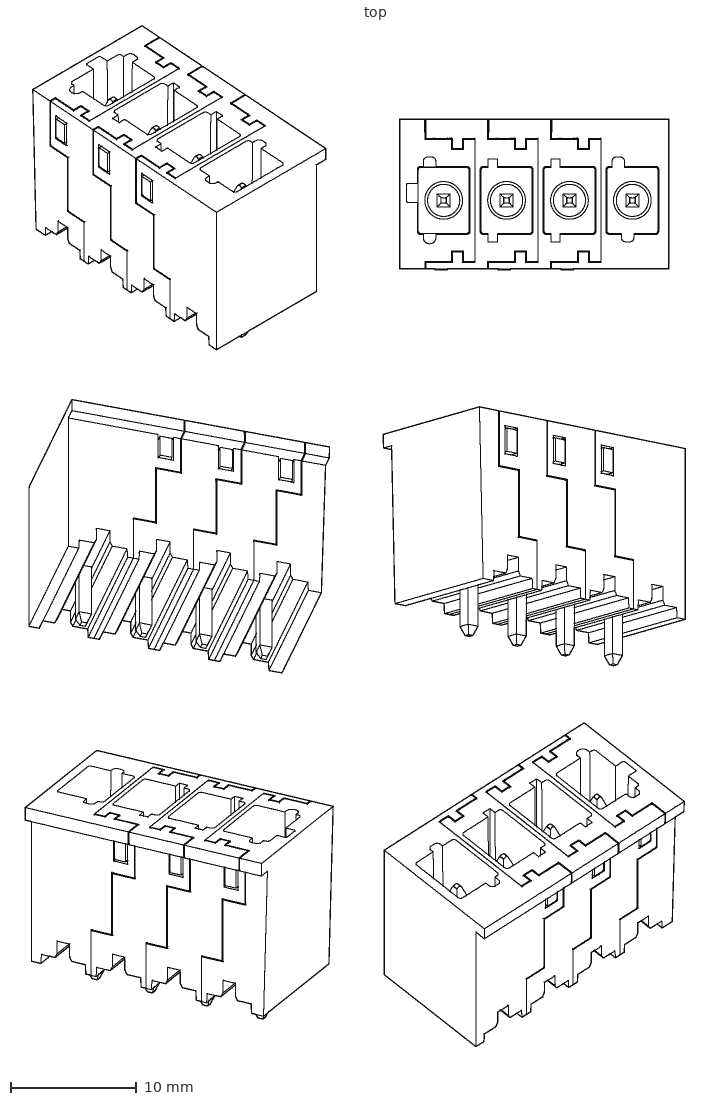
import cadquery as cq
import math


MODULE_COUNT = 4
PITCH = 5.0
HALF_PITCH = PITCH / 2
JOINT_CLEARANCE = 0.08

HEIGHT = 14.0
DEPTH = 10.9
HALF_DEPTH = DEPTH / 2
FIRST_END = 3.5
FIRST_END_FOOT = 3.12
LAST_END = 2.9
LIP_REACH = 1.0
LIP_HEIGHT = 1.12

FLAP_THICKNESS = 0.53
FLAP_TOP_START = -1.42
FLAP_MIDDLE_START = 0.64
FLAP_TOP_BOTTOM = 9.51
FLAP_MIDDLE_BOTTOM = 4.04
TONGUE_START = 0.7
TONGUE_WIDTH = 0.8
TONGUE_REACH = 0.8

LATCH_X = -0.19
LATCH_WIDTH = 1.0
LATCH_BOTTOM = 10.78
LATCH_HEIGHT = 1.9
LATCH_PROUD = 0.08
WINDOW_SIDE_GAP = 0.14
WINDOW_END_GAP = 0.2

CAVITY_WIDTH = 4.2
CAVITY_LENGTH = 5.4
CAVITY_FLOOR = 5.0
CAVITY_CORNER = 0.25
CAVITY_DRAFT = 0.5
COLLAR_RADIUS = 1.5
COLLAR_TOP_RADIUS = 1.28
COLLAR_HEIGHT = 0.5

SLOT_TIP = 3.45
SHORT_SLOT_TIP = 3.3
ROUND_SLOT_WIDTH = 1.0
ROUND_SLOT_X = -1.12
LAST_FRONT_SLOT_X = -0.37
SLOT_CORNER = 0.35
FIRST_FRONT_SLOT_CORNER = 0.48
SQUARE_SLOT_WIDTH = 0.74
SQUARE_SLOT_X = -1.11
FIRST_SLOT_FLOOR = 7.0
SIDE_SLOT_TIP = 2.97
SIDE_SLOT_Y = 0.6
SIDE_SLOT_WIDTH = 1.5
SIDE_SLOT_CORNER = 0.12

FOOT_HEIGHT = 0.82
FOOT_GAP_HALF_WIDTH = 2.03
FOOT_GAP_HALF_WIDTH_TOP = 1.98
GROOVE_HALF_WIDTH = 0.56
GROOVE_TOP = 2.32
FLARE_HALF_WIDTH = 0.75
FLARE_TOP = 1.2

PIN_SIZE = 1.03
PIN_TOP = 12.15
PIN_BOTTOM = -3.15
PIN_HEAD_LENGTH = 1.0
PIN_FOOT_LENGTH = 0.75
PIN_FOOT_FLAT = 0.45
PIN_HEAD_FLAT = 0.4
PIN_HEAD_RADIUS = 0.25


def box(x0, x1, y0, y1, z0, z1):
    """Box between opposite corners."""
    return cq.Workplane("XY").box(x1 - x0, y1 - y0, z1 - z0, centered=False).translate((x0, y0, z0))


def both_sides(shape):
    """The shape together with its mirror image across the XZ plane."""
    return shape.union(shape.mirror("XZ"))


def across_depth(points, y0, y1):
    """Prism with an XZ outline, running from y0 to y1."""
    outline = cq.Workplane("XZ", origin=(0, y1, 0)).polyline(points).close()
    return outline.extrude(y1 - y0)


def stepped_side(clearance, end):
    """Flap region on the front side, from the pin of the overlapped module, up to x = end.

    A clearance widens it into the recess that the flap lies in.
    """
    top_start = FLAP_TOP_START - clearance
    middle_start = FLAP_MIDDLE_START - clearance
    top_bottom = FLAP_TOP_BOTTOM - clearance
    middle_bottom = FLAP_MIDDLE_BOTTOM - clearance
    inner = -HALF_DEPTH + FLAP_THICKNESS + clearance
    outer = -HALF_DEPTH - LIP_REACH
    outline = [
        (top_start, HEIGHT),
        (top_start, top_bottom),
        (middle_start, top_bottom),
        (middle_start, middle_bottom),
        (end, middle_bottom),
        (end, HEIGHT),
    ]
    flap = across_depth(outline, outer, inner)
    tongue = box(
        TONGUE_START - clearance, TONGUE_START + TONGUE_WIDTH + clearance,
        outer, inner + TONGUE_REACH,
        middle_bottom, HEIGHT,
    )
    return flap.union(tongue)


def latch(side_gap, end_gap, proud):
    """Latch block on the front side; the gaps widen it into the flap window."""
    half_width = LATCH_WIDTH / 2 + side_gap
    return box(
        LATCH_X - half_width, LATCH_X + half_width,
        -HALF_DEPTH - proud, -HALF_DEPTH + FLAP_THICKNESS + JOINT_CLEARANCE,
        LATCH_BOTTOM - end_gap, LATCH_BOTTOM + LATCH_HEIGHT + end_gap,
    )


def envelope():
    """Block with the back lip, long enough for any module and its flaps."""
    block = box(-2 * PITCH, PITCH, -HALF_DEPTH, HALF_DEPTH, 0, HEIGHT)
    lip = box(-2 * PITCH, PITCH, HALF_DEPTH, HALF_DEPTH + LIP_REACH, HEIGHT - LIP_HEIGHT, HEIGHT)
    return block.union(lip)


def module_block(is_first, is_last):
    """Outer shape of one module, its pin on the Z axis."""
    foot_start = -FIRST_END_FOOT if is_first else -HALF_PITCH
    top_start = -FIRST_END if is_first else foot_start
    end = LAST_END if is_last else HALF_PITCH
    outline = [(foot_start, 0), (end, 0), (end, HEIGHT), (top_start, HEIGHT)]
    limits = across_depth(outline, -2 * DEPTH, 2 * DEPTH)
    if not is_first:
        flaps = both_sides(stepped_side(0, HALF_PITCH))
        windows = both_sides(latch(WINDOW_SIDE_GAP, WINDOW_END_GAP, LATCH_PROUD))
        limits = limits.union(flaps.cut(windows).translate((-PITCH, 0, 0)))
    block = envelope().intersect(limits)
    if not is_last:
        block = block.cut(both_sides(stepped_side(JOINT_CLEARANCE, PITCH)))
        block = block.union(both_sides(latch(0, 0, LATCH_PROUD)))
    return block


def cavity():
    """Drafted plug cavity, less the collar that stays around the pin."""
    opening = cq.Sketch().rect(CAVITY_WIDTH, CAVITY_LENGTH).vertices().fillet(CAVITY_CORNER)
    pocket = (
        cq.Workplane("XY", origin=(0, 0, HEIGHT))
        .placeSketch(opening)
        .extrude(-(HEIGHT - CAVITY_FLOOR), taper=CAVITY_DRAFT)
    )
    collar = (
        cq.Workplane("XY", origin=(0, 0, CAVITY_FLOOR))
        .circle(COLLAR_RADIUS)
        .workplane(offset=COLLAR_HEIGHT)
        .circle(COLLAR_TOP_RADIUS)
        .loft(ruled=True)
    )
    return pocket.cut(collar)


def coding_slot(x, width, tip, floor, corner=0.0):
    """Slot from the cavity toward +Y, its two end corners rounded if a radius is given."""
    slot = box(x - width / 2, x + width / 2, CAVITY_LENGTH / 2 - CAVITY_CORNER, tip, floor, HEIGHT)
    if corner:
        slot = slot.edges("|Z and >Y").fillet(corner)
    return slot


def first_slots():
    """Shallow slots of the first module: back, front and end side."""
    back = coding_slot(ROUND_SLOT_X, ROUND_SLOT_WIDTH, SLOT_TIP, FIRST_SLOT_FLOOR, SLOT_CORNER)
    front = coding_slot(
        ROUND_SLOT_X, ROUND_SLOT_WIDTH, SLOT_TIP, FIRST_SLOT_FLOOR, FIRST_FRONT_SLOT_CORNER
    )
    side = box(
        -SIDE_SLOT_TIP, -CAVITY_WIDTH / 2 + CAVITY_CORNER,
        SIDE_SLOT_Y - SIDE_SLOT_WIDTH / 2, SIDE_SLOT_Y + SIDE_SLOT_WIDTH / 2,
        FIRST_SLOT_FLOOR, HEIGHT,
    )
    side = side.edges("|Z and <X").fillet(SIDE_SLOT_CORNER)
    return back.union(front.mirror("XZ")).union(side)


def middle_slots():
    """Square slots of a middle module, front and back."""
    return both_sides(coding_slot(SQUARE_SLOT_X, SQUARE_SLOT_WIDTH, SHORT_SLOT_TIP, CAVITY_FLOOR))


def last_slots():
    """Round slots of the last module, the front one shorter and further along X."""
    back = coding_slot(ROUND_SLOT_X, ROUND_SLOT_WIDTH, SLOT_TIP, CAVITY_FLOOR, SLOT_CORNER)
    front = coding_slot(
        LAST_FRONT_SLOT_X, ROUND_SLOT_WIDTH, SHORT_SLOT_TIP, CAVITY_FLOOR, SLOT_CORNER
    )
    return back.union(front.mirror("XZ"))


def underside():
    """Gap between the feet and the flared pin groove above it, through the full depth."""
    half_outline = [
        (FOOT_GAP_HALF_WIDTH, 0),
        (FOOT_GAP_HALF_WIDTH_TOP, FOOT_HEIGHT),
        (FLARE_HALF_WIDTH, FOOT_HEIGHT),
        (GROOVE_HALF_WIDTH, FLARE_TOP),
        (GROOVE_HALF_WIDTH, GROOVE_TOP),
    ]
    mirrored = [(-x, z) for x, z in reversed(half_outline)]
    return across_depth(half_outline + mirrored, -DEPTH, DEPTH)


def pin_point(base_z, flat, length):
    """Pyramid from the pin section at base_z to a smaller square; a negative length points down."""
    return (
        cq.Workplane("XY", origin=(0, 0, base_z))
        .rect(PIN_SIZE, PIN_SIZE)
        .workplane(offset=length)
        .rect(flat, flat)
        .loft(ruled=True)
    )


def above_crown():
    """Corners to remove from the head so that its flat becomes a cylindrical crown."""
    half = PIN_HEAD_FLAT
    axis_z = PIN_TOP - PIN_HEAD_RADIUS
    drop = PIN_HEAD_RADIUS - math.sqrt(PIN_HEAD_RADIUS**2 - (PIN_HEAD_FLAT / 2) ** 2)
    corners = box(-half, half, -half, half, PIN_TOP - drop, PIN_TOP)
    crown = cq.Workplane("XZ", origin=(0, half, axis_z)).circle(PIN_HEAD_RADIUS).extrude(2 * half)
    return corners.cut(crown)


def make_pin():
    """Square pin, pointed at both ends and crowned at the top."""
    half = PIN_SIZE / 2
    shank_bottom = PIN_BOTTOM + PIN_FOOT_LENGTH
    shank_top = PIN_TOP - PIN_HEAD_LENGTH
    shank = box(-half, half, -half, half, shank_bottom, shank_top)
    head = pin_point(shank_top, PIN_HEAD_FLAT, PIN_HEAD_LENGTH).cut(above_crown())
    foot = pin_point(shank_bottom, PIN_FOOT_FLAT, -PIN_FOOT_LENGTH)
    return shank.union(head).union(foot)


def make_housing(index):
    """One housing module, its pin on the Z axis."""
    is_first = index == 0
    is_last = index == MODULE_COUNT - 1
    if is_first:
        slots = first_slots()
    elif is_last:
        slots = last_slots()
    else:
        slots = middle_slots()
    half = PIN_SIZE / 2
    pin_hole = box(-half, half, -half, half, 0, HEIGHT)
    housing = module_block(is_first, is_last)
    return housing.cut(cavity()).cut(slots).cut(underside()).cut(pin_hole)


bodies = []
for module in range(MODULE_COUNT):
    place = (module * PITCH, 0, 0)
    bodies.append(make_housing(module).translate(place).val())
    bodies.append(make_pin().translate(place).val())

result = cq.Compound.makeCompound(bodies)